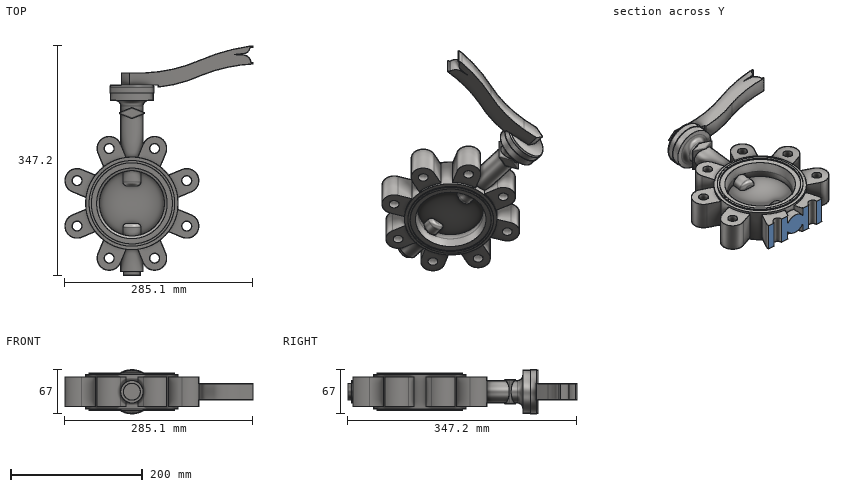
import cadquery as cq
import math


RING_RADIUS = 70.0
RING_HALF_HEIGHT = 26.0
LIP_OUTER_RADIUS = 65.0
LIP_INNER_RADIUS = 61.5
LIP_HEIGHT = 2.0
BORE_RADIUS = 53.5
SEAT_RADIUS = 49.3
SEAT_HALF_HEIGHT = 13.0
DISC_HALF_THICKNESS = 2.8
ROOT_RADIUS = (BORE_RADIUS + RING_RADIUS) / 2

LUG_COUNT = 8
LUG_CIRCLE_RADIUS = 90.0
LUG_RADIUS = 18.5
LUG_HALF_HEIGHT = 22.5
LUG_HOLE_RADIUS = 7.3

BOSS_RADIUS = 14.0
UPPER_BOSS_END = 26.5
LOWER_BOSS_END = 30.2
BOSS_FILLET = 6.2

NECK_RADIUS = 17.0
LOWER_NECK_END = 103.5
STEM_END_RADIUS = 13.0
STEM_END_LENGTH = 5.5
FLANGE_RADIUS = 32.5
FLANGE_BOTTOM = 156.0
FLANGE_TOP = 167.5
NECK_FILLET = 8.5

PLATE_CENTER = 136.8
PLATE_HALF_WIDTH = 21.0
PLATE_HALF_LENGTH = 8.5
PLATE_HALF_HEIGHT = 18.5
PLATE_EDGE_RADIUS = 1.0

HUB_DIAMETER = 67.0
HUB_RADIUS = HUB_DIAMETER / 2
HUB_TOP = 179.0
HUB_BEVEL_LENGTH = 2.8
HUB_BEVEL_DEPTH = 1.0
LEVER_HALF_HEIGHT = 12.0
LEVER_TOP = 198.0
LEVER_POINT_X = -16.0
LEVER_TIP_X = 183.5
LEVER_TIP_TOP = 238.2
LEVER_TIP_BOTTOM = 211.0
LEVER_LIP_THICKNESS = 2.0

UPPER_BEND_START = (21.0, LEVER_TOP)
UPPER_INNER_MIDDLE = (65.3, 204.0)
UPPER_INFLECTION = (102.5, 216.5)
UPPER_OUTER_MIDDLE = (138.0, 229.5)
UPPER_BEND_END = (177.8, LEVER_TIP_TOP)
LOWER_BEND_START = (40.0, 176.0)
LOWER_INNER_MIDDLE = (74.5, 182.5)
LOWER_INFLECTION = (106.5, 194.5)
LOWER_OUTER_MIDDLE = (145.8, 206.2)

SPLIT_ROOT = (155.5, 225.5)
SPLIT_UPPER_FLARE_START = (169.0, 226.7)
SPLIT_UPPER_FLARE_MIDDLE = (175.7, 229.5)
SPLIT_UPPER_END = (179.0, LEVER_TIP_TOP - LEVER_LIP_THICKNESS)
SPLIT_LOWER_FLARE_START = (168.0, 225.0)
SPLIT_LOWER_FLARE_MIDDLE = (176.5, 222.0)
SPLIT_LOWER_END = (180.5, LEVER_TIP_BOTTOM + LEVER_LIP_THICKNESS)


def stem_cylinder(radius, start, end):
    """Cylinder about the stem axis between two Y positions."""
    base = cq.Workplane("XZ", origin=(0, start, 0)).circle(radius)
    return base.extrude(start - end)


def mirrored_in_z(points):
    """Closed half section completed by its mirror image below Z = 0."""
    return points + [(radius, -height) for radius, height in reversed(points)]


def ring():
    """Body ring with its raised lips, tapered mouths, seat and closed disc."""
    lip_top = RING_HALF_HEIGHT + LIP_HEIGHT
    upper_section = [
        (0, DISC_HALF_THICKNESS),
        (SEAT_RADIUS, DISC_HALF_THICKNESS),
        (SEAT_RADIUS, SEAT_HALF_HEIGHT),
        (BORE_RADIUS, RING_HALF_HEIGHT),
        (LIP_INNER_RADIUS, RING_HALF_HEIGHT),
        (LIP_INNER_RADIUS, lip_top),
        (LIP_OUTER_RADIUS, lip_top),
        (LIP_OUTER_RADIUS, RING_HALF_HEIGHT),
        (RING_RADIUS, RING_HALF_HEIGHT),
    ]
    section = cq.Workplane("XZ").polyline(mirrored_in_z(upper_section)).close()
    return section.revolve(360, (0, 0, 0), (0, 1, 0))


def lug(angle):
    """Round-ended lug reaching outwards from the ring, with its bolt hole."""
    arm_length = LUG_CIRCLE_RADIUS - ROOT_RADIUS
    plane = cq.Workplane("XY", origin=(0, 0, -LUG_HALF_HEIGHT))
    arm = plane.center(ROOT_RADIUS + arm_length / 2, 0).rect(arm_length, 2 * LUG_RADIUS)
    arm = arm.extrude(2 * LUG_HALF_HEIGHT)
    end = plane.center(LUG_CIRCLE_RADIUS, 0).circle(LUG_RADIUS).extrude(2 * LUG_HALF_HEIGHT)
    hole = plane.center(LUG_CIRCLE_RADIUS, 0).circle(LUG_HOLE_RADIUS).extrude(2 * LUG_HALF_HEIGHT)
    return arm.union(end).cut(hole).rotate((0, 0, 0), (0, 0, 1), angle)


def upper_boss():
    """Boss on the +Y side of the disc, rounded at the end that faces the bore axis."""
    boss = stem_cylinder(BOSS_RADIUS, UPPER_BOSS_END, ROOT_RADIUS)
    return boss.faces("<Y").edges().fillet(BOSS_FILLET)


def lower_boss():
    """Boss on the -Y side of the disc, rounded at the end that faces the bore axis."""
    boss = stem_cylinder(BOSS_RADIUS, -ROOT_RADIUS, -LOWER_BOSS_END)
    return boss.faces(">Y").edges().fillet(BOSS_FILLET)


def neck_and_flange():
    """Neck flared by a quarter-round fillet into the top flange."""
    flare_start = FLANGE_BOTTOM - NECK_FILLET
    flare_radius = NECK_RADIUS + NECK_FILLET
    flare_middle = (
        flare_radius - NECK_FILLET * math.cos(math.pi / 4),
        flare_start + NECK_FILLET * math.sin(math.pi / 4),
    )
    section = (
        cq.Workplane("XY")
        .moveTo(0, ROOT_RADIUS)
        .lineTo(NECK_RADIUS, ROOT_RADIUS)
        .lineTo(NECK_RADIUS, flare_start)
        .threePointArc(flare_middle, (flare_radius, FLANGE_BOTTOM))
        .lineTo(FLANGE_RADIUS, FLANGE_BOTTOM)
        .lineTo(FLANGE_RADIUS, FLANGE_TOP)
        .lineTo(0, FLANGE_TOP)
        .close()
    )
    return section.revolve(360, (0, 0, 0), (0, 1, 0))


def lower_neck():
    """Lower stem housing with the stepped stem end."""
    housing_end = stem_cylinder(NECK_RADIUS, -LOWER_NECK_END, -ROOT_RADIUS)
    stem_end = stem_cylinder(STEM_END_RADIUS, -LOWER_NECK_END - STEM_END_LENGTH, -LOWER_NECK_END)
    return housing_end.union(stem_end)


def diamond_plate():
    """Diamond prism with all its edges rounded."""
    corners = [
        (-PLATE_HALF_WIDTH, PLATE_CENTER),
        (0, PLATE_CENTER - PLATE_HALF_LENGTH),
        (PLATE_HALF_WIDTH, PLATE_CENTER),
        (0, PLATE_CENTER + PLATE_HALF_LENGTH),
    ]
    outline = cq.Workplane("XY", origin=(0, 0, -PLATE_HALF_HEIGHT)).polyline(corners).close()
    return outline.extrude(2 * PLATE_HALF_HEIGHT).edges().fillet(PLATE_EDGE_RADIUS)


def make_valve_body():
    """Ring with its lugs, disc bosses, necks, flange and plate as one solid."""
    valve_body = ring()
    pitch = 360 / LUG_COUNT
    for index in range(LUG_COUNT):
        valve_body = valve_body.union(lug((index + 0.5) * pitch))
    for part in (upper_boss(), lower_boss(), neck_and_flange(), lower_neck(), diamond_plate()):
        valve_body = valve_body.union(part)
    return valve_body.solids()


def hub():
    """Hub that rests on the flange, with a shallow bevel around its top."""
    bevel_start = HUB_TOP - HUB_BEVEL_LENGTH
    section = cq.Workplane("XY").polyline([
        (0, FLANGE_TOP),
        (HUB_RADIUS, FLANGE_TOP),
        (HUB_RADIUS, bevel_start),
        (HUB_RADIUS - HUB_BEVEL_DEPTH, HUB_TOP),
        (0, HUB_TOP),
    ]).close()
    return section.revolve(360, (0, 0, 0), (0, 1, 0))


def lever():
    """S-curved lever, pointed at the hub and split at the free end."""
    outline = (
        cq.Workplane("XY", origin=(0, 0, -LEVER_HALF_HEIGHT))
        .moveTo(LEVER_POINT_X, HUB_TOP)
        .lineTo(LEVER_POINT_X, LEVER_TOP)
        .lineTo(*UPPER_BEND_START)
        .threePointArc(UPPER_INNER_MIDDLE, UPPER_INFLECTION)
        .threePointArc(UPPER_OUTER_MIDDLE, UPPER_BEND_END)
        .lineTo(LEVER_TIP_X, LEVER_TIP_TOP)
        .lineTo(LEVER_TIP_X, SPLIT_UPPER_END[1])
        .lineTo(*SPLIT_UPPER_END)
        .threePointArc(SPLIT_UPPER_FLARE_MIDDLE, SPLIT_UPPER_FLARE_START)
        .lineTo(*SPLIT_ROOT)
        .lineTo(*SPLIT_LOWER_FLARE_START)
        .threePointArc(SPLIT_LOWER_FLARE_MIDDLE, SPLIT_LOWER_END)
        .lineTo(LEVER_TIP_X, SPLIT_LOWER_END[1])
        .lineTo(LEVER_TIP_X, LEVER_TIP_BOTTOM)
        .threePointArc(LOWER_OUTER_MIDDLE, LOWER_INFLECTION)
        .threePointArc(LOWER_INNER_MIDDLE, LOWER_BEND_START)
        .lineTo(LOWER_BEND_START[0], HUB_TOP)
        .close()
    )
    bar = outline.extrude(2 * LEVER_HALF_HEIGHT)
    shoulder_x = LEVER_POINT_X + LEVER_HALF_HEIGHT
    wedge = cq.Workplane("XZ").polyline([
        (LEVER_POINT_X, 0),
        (shoulder_x, LEVER_HALF_HEIGHT),
        (LEVER_TIP_X, LEVER_HALF_HEIGHT),
        (LEVER_TIP_X, -LEVER_HALF_HEIGHT),
        (shoulder_x, -LEVER_HALF_HEIGHT),
    ]).close().extrude(-LEVER_TIP_TOP)
    return bar.intersect(wedge)


def make_handle():
    """Hub and lever as one solid."""
    return hub().union(lever()).solids()


valve_body = make_valve_body()
handle = make_handle()
result = cq.Compound.makeCompound([valve_body.val(), handle.val()])